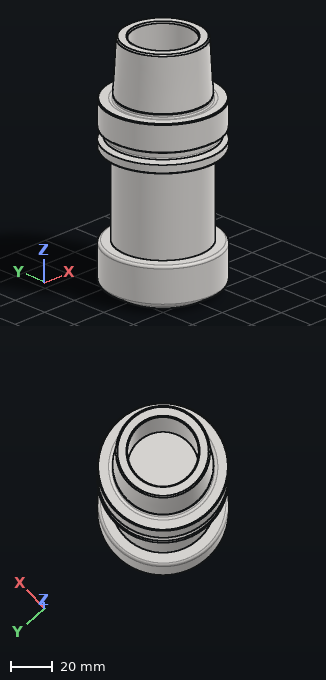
import cadquery as cq
import math

total_height = 132.0
body_radius = 63.0 / 2

nut_height = 25.6
nut_top_fillet = 1.5
nut_nose_radius = 23.9
nut_nose_height = 4.6
nut_nose_fillet = 2.0

shaft_radius = 25.1
shaft_fillet = 0.7

lower_collar_base = 73.7
collar_edge_chamfer = 0.5
groove_radius = 27.6
groove_bottom = 80.0
groove_top = 83.5
groove_mouth_radius = 28.7
groove_flank_height = 1.6
groove_fillet = 0.5
flange_face = 99.8

relief_outer_radius = 26.1
relief_depth = 0.5
neck_radius = 23.8
neck_fillet = 0.7

taper_base = 101.9
taper_base_radius = 24.2
taper_top_radius = 22.6
taper_undercut_height = 0.7
taper_top_chamfer = 0.8
bore_radius = 17.0
bore_chamfer_width = 0.5
bore_chamfer_depth = bore_chamfer_width / math.tan(math.radians(30))
bore_depth = total_height - flange_face


def ring_edge(radius, height):
    """Select the circular edges at the given radius and height."""
    tolerance = 0.01
    reach = radius + tolerance
    return cq.selectors.BoxSelector(
        (-reach, -reach, height - tolerance),
        (reach, reach, height + tolerance),
        boundingbox=True,
    ) - cq.selectors.BoxSelector(
        (-radius + tolerance, -radius + tolerance, height - tolerance),
        (radius - tolerance, radius - tolerance, height + tolerance),
        boundingbox=True,
    )


def turned_body():
    """Solid of revolution with the sharp-cornered outer profile."""
    collar_chamfer_radius = body_radius - collar_edge_chamfer
    profile = [
        (0, 0),
        (nut_nose_radius, 0),
        (body_radius, nut_nose_height),
        (body_radius, nut_height),
        (shaft_radius, nut_height),
        (shaft_radius, lower_collar_base),
        (collar_chamfer_radius, lower_collar_base),
        (body_radius, lower_collar_base + collar_edge_chamfer),
        (body_radius, groove_bottom - groove_flank_height),
        (groove_mouth_radius, groove_bottom),
        (groove_radius, groove_bottom),
        (groove_radius, groove_top),
        (groove_mouth_radius, groove_top),
        (body_radius, groove_top + groove_flank_height),
        (body_radius, flange_face - collar_edge_chamfer),
        (collar_chamfer_radius, flange_face),
        (relief_outer_radius, flange_face),
        (neck_radius, flange_face - relief_depth),
        (neck_radius, taper_base - taper_undercut_height),
        (taper_base_radius, taper_base),
        (taper_top_radius, total_height - taper_top_chamfer),
        (taper_top_radius - taper_top_chamfer, total_height),
        (0, total_height),
    ]
    return cq.Workplane("XZ").polyline(profile).close().revolve(360, (0, 0), (0, 1))


def taper_bore():
    """Blind bore with a steep chamfer at its mouth."""
    profile = [
        (0, total_height - bore_depth),
        (bore_radius, total_height - bore_depth),
        (bore_radius, total_height - bore_chamfer_depth),
        (bore_radius + bore_chamfer_width, total_height),
        (0, total_height),
    ]
    return cq.Workplane("XZ").polyline(profile).close().revolve(360, (0, 0), (0, 1))


rounded_corners = [
    (body_radius, nut_nose_height, nut_nose_fillet),
    (body_radius, nut_height, nut_top_fillet),
    (shaft_radius, lower_collar_base, shaft_fillet),
    (groove_radius, groove_bottom, groove_fillet),
    (groove_radius, groove_top, groove_fillet),
    (neck_radius, flange_face - relief_depth, neck_fillet),
]

body = turned_body()
for corner_radius, corner_height, fillet_size in rounded_corners:
    body = body.edges(ring_edge(corner_radius, corner_height)).fillet(fillet_size)

result = body.cut(taper_bore())